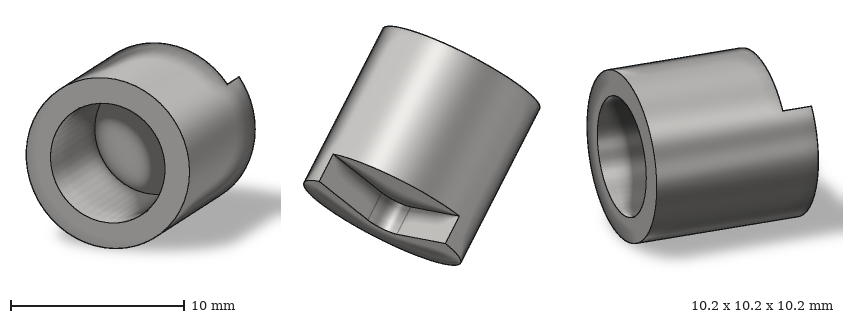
import cadquery as cq
import math

outer_diameter = 10.16
length = 10.16
bore_diameter = 7.12
wall = (outer_diameter - bore_diameter) / 2

notch_depth = 1.8
notch_half_angle = math.radians(36.25)
notch_mouth_half_width = 4.07
root_radius = 1.16

bore_depth = length - notch_depth - wall

outer_radius = outer_diameter / 2
open_end = -length / 2
closed_end = length / 2


def cylinder_from_open_end(diameter, depth):
    """Cylinder along Y, starting at the open end."""
    end_plane = cq.Workplane("XZ", origin=(0, open_end, 0))
    return end_plane.circle(diameter / 2).extrude(-depth)


def notch_cutter():
    """Rounded V whose flanks meet the outer surface at the mouth width."""
    mouth_z = math.sqrt(outer_radius**2 - notch_mouth_half_width**2)
    apex_z = mouth_z - notch_mouth_half_width / math.tan(notch_half_angle)
    root_centre_z = apex_z + root_radius / math.sin(notch_half_angle)

    tangent_x = root_radius * math.cos(notch_half_angle)
    tangent_z = root_centre_z - root_radius * math.sin(notch_half_angle)

    top_z = outer_diameter
    top_x = (top_z - apex_z) * math.tan(notch_half_angle)

    return (
        cq.Workplane("XZ", origin=(0, closed_end, 0))
        .moveTo(-top_x, top_z)
        .lineTo(-tangent_x, tangent_z)
        .threePointArc((0, root_centre_z - root_radius), (tangent_x, tangent_z))
        .lineTo(top_x, top_z)
        .close()
        .extrude(notch_depth)
    )


body = cylinder_from_open_end(outer_diameter, length)
bore = cylinder_from_open_end(bore_diameter, bore_depth)
result = body.cut(bore).cut(notch_cutter())